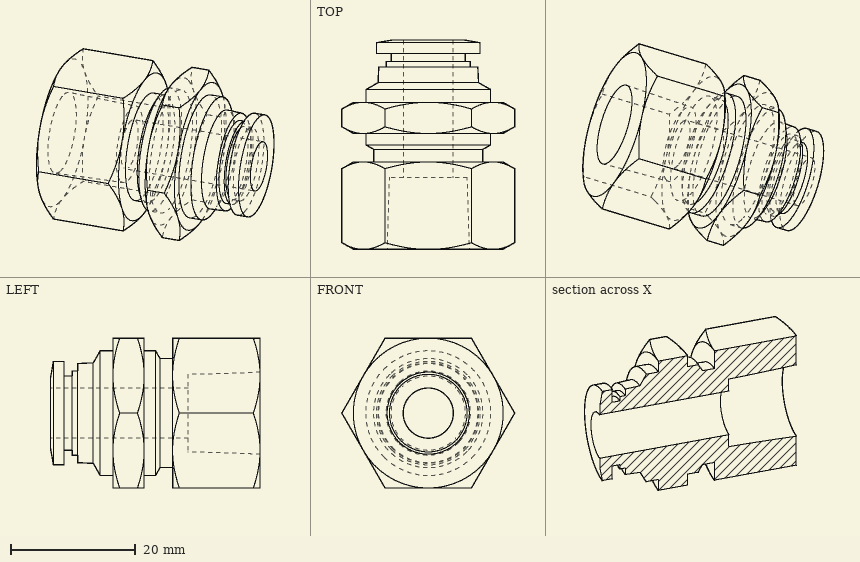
import cadquery as cq
import math


across_flats = 24.0
chamfer_angle = 30.0
body_hex_end = 14.0
nut_start = 18.55
nut_end = 23.55

neck_radius = 8.75
neck_end = 16.0
thread_radius = 10.0
thread_start = neck_end + (thread_radius - neck_radius) * math.tan(math.radians(chamfer_angle))
thread_end = 25.6
shoulder_end = 26.7
guide_base_radius = 8.05
guide_taper_start = 27.2
guide_tip_radius = 7.95
guide_end = 29.2
sleeve_radius = 6.75
sleeve_end = 30.1

stem_radius = 5.95
stem_end = 31.35
ring_radius = 8.3
ring_rim_end = 33.1
ring_face_radius = 5.7
overall_length = 33.55

port_mouth_radius = 13.157 / 2
port_depth = 11.5
diameter_taper = 1 / 16
port_bottom_radius = port_mouth_radius - port_depth * diameter_taper / 2
bore_radius = 4.0


def revolve_about_y(outline):
    """Revolve a closed (radius, Y) outline a full turn about the Y axis."""
    return cq.Workplane("XY").polyline(outline).close().revolve(360, (0, 0, 0), (0, 1, 0))


def chamfered_hexagon(start, end):
    """Hexagonal prism from Y = start to Y = end with both ends turned to a cone."""
    corner_radius = across_flats / math.sqrt(3)
    face_radius = across_flats / 2
    chamfer_length = (corner_radius - face_radius) * math.tan(math.radians(chamfer_angle))
    prism = (
        cq.Workplane("XZ", origin=(0, start, 0))
        .polygon(6, 2 * corner_radius)
        .extrude(start - end)
    )
    turned_envelope = revolve_about_y([
        (0, start),
        (face_radius, start),
        (corner_radius, start + chamfer_length),
        (corner_radius, end - chamfer_length),
        (face_radius, end),
        (0, end),
    ])
    return prism.intersect(turned_envelope)


def turned_body():
    """Stepped shaft from the port face to the release ring."""
    return revolve_about_y([
        (0, 0),
        (neck_radius, 0),
        (neck_radius, neck_end),
        (thread_radius, thread_start),
        (thread_radius, thread_end),
        (guide_base_radius, shoulder_end),
        (guide_base_radius, guide_taper_start),
        (guide_tip_radius, guide_end),
        (sleeve_radius, guide_end),
        (sleeve_radius, sleeve_end),
        (stem_radius, sleeve_end),
        (stem_radius, stem_end),
        (ring_radius, stem_end),
        (ring_radius, ring_rim_end),
        (ring_face_radius, overall_length),
        (0, overall_length),
    ])


def internal_passage():
    """Tapered port that narrows to the through bore."""
    return revolve_about_y([
        (0, 0),
        (port_mouth_radius, 0),
        (port_bottom_radius, port_depth),
        (bore_radius, port_depth),
        (bore_radius, overall_length),
        (0, overall_length),
    ])


body_hexagon = chamfered_hexagon(0, body_hex_end)
lock_nut = chamfered_hexagon(nut_start, nut_end)

result = turned_body().union(body_hexagon).union(lock_nut).cut(internal_passage())